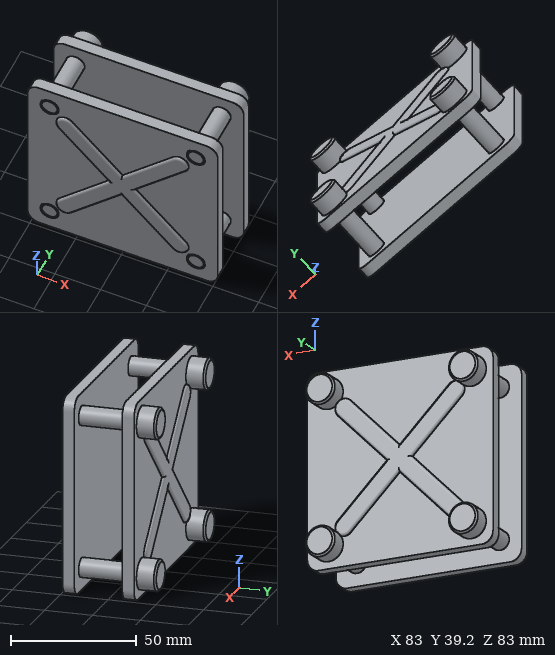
import cadquery as cq
import math

plate_side = 83.0
plate_thickness = 5.0
plate_corner_radius = 5.0
plate_gap = 20.0

rib_height = 1.2
rib_width = 8.0
rib_end_offset = 24.9
rib_edge_radius = rib_height
rib_root_depth = 0.8

screw_offset = 31.95
shank_diameter = 8.05
shank_tip_chamfer = 0.7
head_diameter = 13.0
head_height = 8.05
head_chamfer = 0.8

rear_plate_inner_y = plate_thickness + plate_gap
rear_plate_outer_y = rear_plate_inner_y + plate_thickness

signs = (-1, 1)
screw_positions = [(sx * screw_offset, sz * screw_offset) for sx in signs for sz in signs]


def cylinder_along_y(x, z, start_y, length, diameter):
    """Cylinder whose axis runs toward +Y from start_y."""
    solid = cq.Solid.makeCylinder(diameter / 2, length, cq.Vector(x, start_y, z), cq.Vector(0, 1, 0))
    return cq.Workplane(obj=solid)


def make_screw(x, z):
    """Screw with its tip flush with the front plate and its head on the rear plate."""
    shank = cylinder_along_y(x, z, 0, rear_plate_outer_y, shank_diameter)
    shank = shank.faces("<Y").chamfer(shank_tip_chamfer)
    head = cylinder_along_y(x, z, rear_plate_outer_y, head_height, head_diameter)
    head = head.faces(">Y").chamfer(head_chamfer)
    return shank.union(head)


def make_rib(angle):
    """Round-ended rib at an angle in the XY plane, rising from a root below Z = 0."""
    rib_length = 2 * math.sqrt(2) * rib_end_offset + rib_width
    rib = cq.Workplane("XY").workplane(offset=-rib_root_depth).slot2D(rib_length, rib_width, angle)
    return rib.extrude(rib_root_depth + rib_height)


def make_cross():
    """Two crossed ribs with a rounded top edge."""
    cross = make_rib(45).union(make_rib(-45))
    return cross.faces(">Z").edges().fillet(rib_edge_radius)


def make_plate(inner_y, outward_turn):
    """Plate with its inner face at inner_y and its cross turned outward about X."""
    plate = (
        cq.Workplane("XY")
        .rect(plate_side, plate_side)
        .extrude(plate_thickness)
        .edges("|Z")
        .fillet(plate_corner_radius)
        .union(make_cross().translate((0, 0, plate_thickness)))
        .rotate((0, 0, 0), (1, 0, 0), outward_turn)
        .translate((0, inner_y, 0))
    )
    for x, z in screw_positions:
        plate = plate.cut(cylinder_along_y(x, z, 0, rear_plate_outer_y, shank_diameter))
        plate = plate.cut(cylinder_along_y(x, z, rear_plate_outer_y, head_height, head_diameter))
    return plate


front_plate = make_plate(plate_thickness, 90)
rear_plate = make_plate(rear_plate_inner_y, -90)
screws = [make_screw(x, z) for x, z in screw_positions]

result = cq.Compound.makeCompound(
    [front_plate.val(), rear_plate.val(), *[screw.val() for screw in screws]]
)